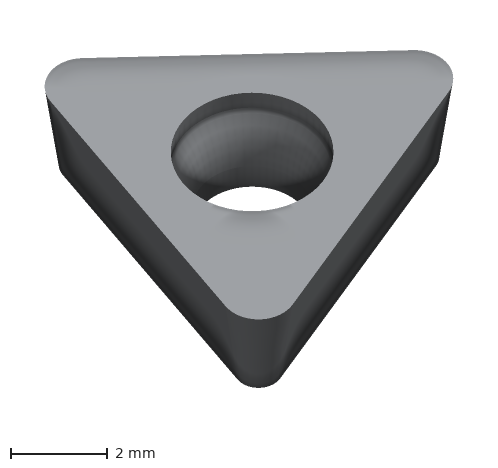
import cadquery as cq
import math

overall_width = 8.46
thickness = 2.38
corner_radius = 0.8
relief_angle = 7.0

bore_diameter = 2.5
recess_diameter = 3.37
recess_wall_depth = 0.45
recess_blend_width = 0.05
recess_blend_height = 0.13
recess_blend_radius = 0.21
bore_start_depth = 1.76

corner_spacing = overall_width - 2 * corner_radius
corner_distance = corner_spacing / math.sqrt(3)
relief_inset = thickness * math.tan(math.radians(relief_angle))


def rounded_triangle(z, radius):
    """Wire at height z, rounded with the given radius about the corner centres."""
    outline = cq.Workplane("XY", origin=(0, 0, z))
    for index, direction in enumerate((90, 210, 330)):
        center_angle = math.radians(direction)
        center = cq.Vector(math.cos(center_angle), math.sin(center_angle)) * corner_distance

        def corner_point(turn):
            angle = math.radians(direction + turn)
            point = center + cq.Vector(math.cos(angle), math.sin(angle)) * radius
            return (point.x, point.y)

        start = corner_point(-60)
        outline = outline.lineTo(*start) if index else outline.moveTo(*start)
        outline = outline.threePointArc(corner_point(0), corner_point(60))
    return outline.close().val()


def insert_body():
    """Ruled loft: flat flanks with conical corners."""
    bottom = rounded_triangle(0, corner_radius - relief_inset)
    top = rounded_triangle(thickness, corner_radius)
    return cq.Workplane(cq.Solid.makeLoft([bottom, top], True))


def screw_hole():
    """Revolved cutter whose convex seat runs tangent into the bore."""
    bore_radius = bore_diameter / 2
    recess_radius = recess_diameter / 2
    seat_radius = recess_radius - recess_blend_width
    bore_top = thickness - bore_start_depth
    blend_top = thickness - recess_wall_depth
    seat_top = blend_top - recess_blend_height
    return (
        cq.Workplane("XZ")
        .lineTo(bore_radius, 0)
        .lineTo(bore_radius, bore_top)
        .tangentArcPoint((seat_radius, seat_top), relative=False)
        .radiusArc((recess_radius, blend_top), -recess_blend_radius)
        .lineTo(recess_radius, thickness)
        .lineTo(0, thickness)
        .close()
        .revolve(360, (0, 0, 0), (0, 1, 0))
    )


result = insert_body().cut(screw_hole())